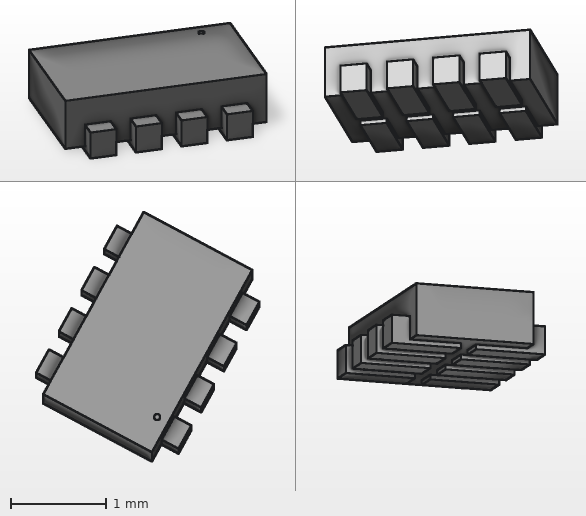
import cadquery as cq

overall_width = 1.7
overall_height = 0.61

housing_width = 1.297
housing_length = 2.21
standoff = 0.05
housing_height = overall_height - standoff

leads_per_side = 4
lead_pitch = 0.5
lead_width = 0.283
lead_height = 0.303
foot_gap = 0.17
foot_length = (overall_width - foot_gap) / 2
lead_overhang = (overall_width - housing_width) / 2

mark_diameter = 0.065
mark_depth = 0.01
mark_edge_offset = 0.13
mark_x = -housing_width / 2 + mark_edge_offset
mark_y = (leads_per_side - 1) * lead_pitch / 2


def make_mark():
    """Disc whose upper face is level with the top of the housing."""
    return (
        cq.Workplane("XY", origin=(mark_x, mark_y, overall_height - mark_depth))
        .circle(mark_diameter / 2)
        .extrude(mark_depth)
    )


def make_housing(mark):
    """Plain block raised on the lead feet, with a recess that holds the mark."""
    block = cq.Workplane("XY", origin=(0, 0, standoff)).box(
        housing_width, housing_length, housing_height, centered=(True, True, False)
    )
    return block.cut(mark)


def make_lead(side, y):
    """Block outside the housing wall, with a thin foot running in under the housing.

    side is -1 for the leads on the -X side and +1 for those on the +X side.
    """
    outer_x = side * overall_width / 2
    wall_x = outer_x - side * lead_overhang
    inner_x = outer_x - side * foot_length
    return (
        cq.Workplane("XZ", origin=(0, y, 0))
        .moveTo(outer_x, 0)
        .lineTo(outer_x, lead_height)
        .lineTo(wall_x, lead_height)
        .lineTo(wall_x, standoff)
        .lineTo(inner_x, standoff)
        .lineTo(inner_x, 0)
        .close()
        .extrude(lead_width / 2, both=True)
    )


mark = make_mark()
housing = make_housing(mark)

leads = []
for side in (-1, 1):
    for index in range(leads_per_side):
        lead_y = (index - (leads_per_side - 1) / 2) * lead_pitch
        leads.append(make_lead(side, lead_y))

result = cq.Compound.makeCompound(
    [housing.val(), mark.val(), *[lead.val() for lead in leads]]
)